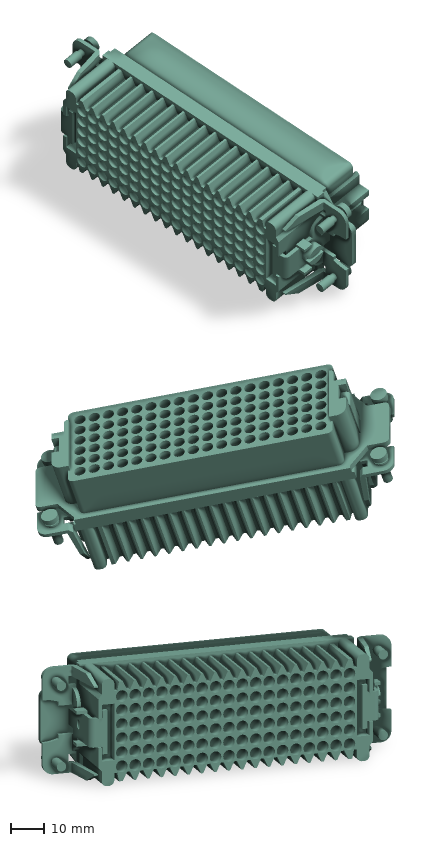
import cadquery as cq
import math


columns = 18
rows = 6
front_grid_length = 72.3
rear_grid_length = 74.8
front_column_pitch = front_grid_length / (columns - 1)
rear_column_pitch = rear_grid_length / (columns - 1)
row_pitch = rear_column_pitch
front_hole_diameter = 3.7
rear_hole_diameter = 3.5

flange_front_y = 17.5
flange_back_y = 22.2
flange_half_length = 43.6
flange_half_height = 16.7
ear_front_y = 20.3
ear_end_x = 54.9
ear_half_height = 8.5
ear_corner_radius = 1.7
ear_root_x = 42.9
ear_root_z = 15.6
ear_slope_end_x = 48.1

grid_half_height = 12.8
tooth_peak_z = 15.6
tooth_peak_half = 0.3
tooth_base_half = 1.7
end_tooth_peak_half = 0.9
end_tooth_base_half = 1.4

post_inner_x = 38.5
post_outer_x = 42.5
post_half_height = flange_half_height
post_corner_radius = 1.7
cheek_outer_x = flange_half_length
cheek_half_height = 10.7
cheek_slope_top_z = 12.1

pocket_depth = 3.3
pocket_half_height = 8.9

sheet = 1.2
strip_outer_x = 46.1
strip_inner_x = strip_outer_x - sheet
strip_front_y = 0.7
strip_back_y = 35.2
strip_front_radius = 1.7
strip_back_radius = 1.3
tongue_half_width = 2.5
tongue_front_y = 16.3
leg_half_width = 4.5
shoulder_half_width = 9.9
shoulder_front_y = 12.4
hook_inner_x = 40.5
hook_outer_x = 42.1
hook_half_width = 6.9
strip_hole_diameter = 3.0
strip_hole_y = 11.2
lug_outer_x = 48.3
lug_front_y = 6.5
lug_length = 3.3
lug_height = 1.0

plate_front_y = 17.2
plate_back_y = plate_front_y + sheet
plate_end_x = 55.4
plate_half_height = flange_half_height
plate_corner_radius = 3.3
plate_step_x = 50.3
plate_step_z = 5.9
plate_slope_end_x = 52.8
plate_slope_end_z = 6.5
plate_end_z = 6.8
window_outer_x = 47.2
window_bottom_z = 10.9
window_top_z = 13.5
tab_bend_outer_x = 46.3
tab_bend_inner_x = 44.5
tab_bend_relief = 1.1
tab_tip_outer_x = 44.1
tab_tip_inner_x = tab_tip_outer_x - sheet
tab_tip_y = 2.5
tab_taper_y = 7.8
tab_tip_top_z = 14.0

left_screw_x = 51.6
right_screw_x = 50.6
screw_z = 12.6
screw_tip_y = 10.7
screw_neck_y = 15.6
screw_thread_diameter = 3.0
screw_neck_diameter = 2.3
screw_collar_diameter = 3.7
screw_head_diameter = 5.1
washer_diameter = 4.7
washer_front_y = 19.0
washer_thickness = 0.7
ground_screw_diameter = 6.5
ground_screw_height = 2.8
ground_slot_width = 1.5
ground_slot_depth = 1.4

block_back_y = 36.1
block_half_length = 41.1
block_half_height = 14.7
block_corner_radius = 1.7
rail_back_y = 38.1
rail_outer_x = 45.7
rail_half_height = 9.9
rail_shelf_z = 5.2
rail_upper_outer_x = 41.9
rail_top_chamfer = 0.7
rail_bottom_radius = 3.0
rail_slot_half_height = 2.9
rail_slot_floor_x = 43.4


def box(x0, x1, y0, y1, z0, z1):
    """Box between two opposite corners."""
    return cq.Workplane("XY").box(x1 - x0, y1 - y0, z1 - z0, centered=False).translate((x0, y0, z0))


def facing_front(y_back):
    """Sketch plane at y_back, X right and Z up, that extrudes towards -Y."""
    return cq.Workplane("XZ", origin=(0, y_back, 0))


def cylinder_y(x, z, y_front, y_back, diameter):
    """Cylinder along Y."""
    return facing_front(y_back).center(x, z).circle(diameter / 2).extrude(y_back - y_front)


def contact_holes(column_pitch, diameter, y_front, y_back):
    """Full grid of contact holes as cylinders along Y."""
    return (
        facing_front(y_back)
        .rarray(column_pitch, row_pitch, columns, rows)
        .circle(diameter / 2)
        .extrude(y_back - y_front)
    )


def tooth_points(column):
    """Upper outline of one ridge, left to right; the end ridges are steeper on their outer side."""
    x = (column - (columns - 1) / 2) * front_column_pitch
    left_base, left_peak, right_peak, right_base = (
        tooth_base_half, tooth_peak_half, tooth_peak_half, tooth_base_half)
    if column == 0:
        left_base, left_peak = end_tooth_base_half, end_tooth_peak_half
    if column == columns - 1:
        right_base, right_peak = end_tooth_base_half, end_tooth_peak_half
    return [
        (x - left_base, grid_half_height),
        (x - left_peak, tooth_peak_z),
        (x + right_peak, tooth_peak_z),
        (x + right_base, grid_half_height),
    ]


def ridged_core():
    """Contact carrier with one ridge over and under every contact column."""
    upper = [(-post_inner_x, grid_half_height)]
    for column in range(columns):
        upper += tooth_points(column)
    upper.append((post_inner_x, grid_half_height))
    lower = [(x, -z) for x, z in reversed(upper)]
    return facing_front(flange_front_y).polyline(upper + lower).close().extrude(flange_front_y)


def end_post():
    """Round-edged post and wider cheek at the end of the core, with the pocket for the bracket hook."""
    post = box(post_inner_x, post_outer_x, 0, flange_front_y, -post_half_height, post_half_height)
    post = post.edges("|Y").fillet(post_corner_radius)
    cheek = (
        facing_front(flange_front_y)
        .polyline([
            (post_inner_x, -cheek_slope_top_z),
            (post_outer_x, -cheek_slope_top_z),
            (cheek_outer_x, -cheek_half_height),
            (cheek_outer_x, cheek_half_height),
            (post_outer_x, cheek_slope_top_z),
            (post_inner_x, cheek_slope_top_z),
        ])
        .close()
        .extrude(flange_front_y)
    )
    pocket = box(post_inner_x, post_outer_x, 0, pocket_depth, -pocket_half_height, pocket_half_height)
    leg_opening = box(hook_outer_x, cheek_outer_x, 0, pocket_depth, -leg_half_width, leg_half_width)
    return post.union(cheek).cut(pocket).cut(leg_opening)


def flange():
    """Collar behind the core; its back layer is slightly shorter."""
    front_layer = box(
        -flange_half_length, flange_half_length, flange_front_y, ear_front_y,
        -flange_half_height, flange_half_height)
    back_layer = box(
        -ear_root_x, ear_root_x, ear_front_y, flange_back_y, -flange_half_height, flange_half_height)
    return front_layer.union(back_layer)


def flange_ear():
    """Tongue of the flange that narrows from the collar to a round-cornered end."""
    return (
        facing_front(flange_back_y)
        .polyline([
            (ear_root_x, -ear_root_z),
            (ear_slope_end_x, -ear_half_height),
            (ear_end_x, -ear_half_height),
            (ear_end_x, ear_half_height),
            (ear_slope_end_x, ear_half_height),
            (ear_root_x, ear_root_z),
        ])
        .close()
        .extrude(flange_back_y - ear_front_y)
        .edges("|Y and >X")
        .fillet(ear_corner_radius)
    )


def bracket_strip():
    """C-shaped strip: hooked into the housing pocket in front, into the rear block's rail behind."""
    outer = box(
        hook_inner_x, strip_outer_x, strip_front_y, strip_back_y,
        -shoulder_half_width, shoulder_half_width)
    outer = outer.edges("|Z and >X and <Y").fillet(strip_front_radius)
    outer = outer.edges("|Z and >X and >Y").fillet(strip_back_radius)
    inside = box(
        hook_inner_x, strip_inner_x, strip_front_y + sheet, strip_back_y - sheet,
        -shoulder_half_width, shoulder_half_width)
    beyond_rail_slot = box(
        hook_inner_x, rail_slot_floor_x, flange_back_y, strip_back_y,
        -shoulder_half_width, shoulder_half_width)
    channel = outer.cut(inside).cut(beyond_rail_slot)

    shoulder_radius = plate_front_y - shoulder_front_y
    shoulder_low_z = shoulder_half_width - shoulder_radius
    arc_mid = (
        shoulder_front_y + shoulder_radius * (1 - math.sqrt(0.5)),
        shoulder_low_z + shoulder_radius * math.sqrt(0.5),
    )
    upper_half = (
        cq.Workplane("YZ")
        .moveTo(strip_front_y, 0)
        .lineTo(strip_front_y, leg_half_width)
        .lineTo(shoulder_front_y, leg_half_width)
        .lineTo(shoulder_front_y, shoulder_low_z)
        .threePointArc(arc_mid, (plate_front_y, shoulder_half_width))
        .lineTo(plate_back_y, shoulder_half_width)
        .lineTo(plate_back_y, leg_half_width)
        .lineTo(tongue_front_y, leg_half_width)
        .lineTo(tongue_front_y, tongue_half_width)
        .lineTo(strip_back_y, tongue_half_width)
        .lineTo(strip_back_y, 0)
        .close()
        .extrude(strip_outer_x)
    )
    strip = channel.intersect(upper_half.union(upper_half.mirror("XY")))
    hook = box(
        hook_inner_x, hook_outer_x, strip_front_y, strip_front_y + sheet,
        -hook_half_width, hook_half_width)
    hole = (
        cq.Workplane("YZ", origin=(strip_inner_x, 0, 0))
        .center(strip_hole_y, 0)
        .circle(strip_hole_diameter / 2)
        .extrude(sheet)
    )
    return strip.union(hook).cut(hole)


def mounting_plate():
    """Upper screw plate, with a window between the strip and the tab."""
    plate = (
        facing_front(plate_back_y)
        .polyline([
            (strip_inner_x, leg_half_width),
            (plate_step_x, leg_half_width),
            (plate_step_x, plate_step_z),
            (plate_slope_end_x, plate_slope_end_z),
            (plate_end_x, plate_end_z),
            (plate_end_x, plate_half_height),
            (window_outer_x, plate_half_height),
            (window_outer_x, window_bottom_z),
            (strip_inner_x, window_bottom_z),
        ])
        .close()
        .extrude(sheet)
    )
    return plate.edges("|Y and >X and >Z").fillet(plate_corner_radius)


def slanted_tab():
    """Tab bent from the upper plate towards the housing, tapered at its tip."""
    tab = (
        cq.Workplane("XY", origin=(0, 0, window_top_z))
        .polyline([
            (window_outer_x, plate_front_y),
            (window_outer_x, plate_back_y),
            (tab_bend_inner_x + tab_bend_relief, plate_back_y),
            (tab_bend_inner_x, plate_front_y),
            (tab_tip_inner_x, tab_tip_y),
            (tab_tip_outer_x, tab_tip_y),
            (tab_bend_outer_x, plate_front_y),
        ])
        .close()
        .extrude(plate_half_height - window_top_z)
    )
    taper = (
        cq.Workplane("YZ")
        .polyline([
            (tab_tip_y, tab_tip_top_z),
            (tab_taper_y, plate_half_height),
            (tab_tip_y, plate_half_height),
        ])
        .close()
        .extrude(window_outer_x)
    )
    return tab.cut(taper)


def strip_lug():
    """Small lug that stands out from the upper edge of the strip."""
    return box(
        strip_inner_x, lug_outer_x, lug_front_y, lug_front_y + lug_length,
        leg_half_width, leg_half_width + lug_height)


def bracket():
    """Strip with an equal plate, tab and lug above and below, bent from one sheet."""
    upper = mounting_plate().union(slanted_tab()).union(strip_lug())
    return bracket_strip().union(upper).union(upper.mirror("XY"))


def mounting_screw(x, z):
    """Captive screw through the plate, with its washer and head behind it."""
    thread = cylinder_y(x, z, screw_tip_y, screw_neck_y, screw_thread_diameter)
    neck = cylinder_y(x, z, screw_neck_y, plate_front_y, screw_neck_diameter)
    collar = cylinder_y(x, z, plate_front_y, ear_front_y, screw_collar_diameter)
    washer = cylinder_y(x, z, washer_front_y, washer_front_y + washer_thickness, washer_diameter)
    head = cylinder_y(x, z, ear_front_y, flange_back_y, screw_head_diameter)
    return thread.union(neck).union(collar).union(washer).union(head)


def ground_screw():
    """Slotted screw that fills the strip hole on the +X end."""
    stem = (
        cq.Workplane("YZ", origin=(strip_inner_x, strip_hole_y, 0))
        .circle(strip_hole_diameter / 2)
        .extrude(sheet)
    )
    head = (
        cq.Workplane("YZ", origin=(strip_outer_x, strip_hole_y, 0))
        .circle(ground_screw_diameter / 2)
        .extrude(ground_screw_height)
    )
    top_x = strip_outer_x + ground_screw_height
    head_radius = ground_screw_diameter / 2
    slot = box(
        top_x - ground_slot_depth, top_x, strip_hole_y - head_radius, strip_hole_y + head_radius,
        -ground_slot_width / 2, ground_slot_width / 2)
    return stem.union(head.cut(slot))


def make_front_housing():
    """Front body: core, flange, end posts and ears, with the brackets and screws fixed to it."""
    end = end_post().union(flange_ear()).union(bracket())
    housing = ridged_core().union(flange()).union(end).union(end.mirror("YZ"))
    for x in (-left_screw_x, right_screw_x):
        for z in (-screw_z, screw_z):
            housing = housing.union(mounting_screw(x, z))
    housing = housing.union(ground_screw())
    return housing.cut(contact_holes(front_column_pitch, front_hole_diameter, 0, flange_back_y))


def guide_rail():
    """Stepped rail on the end of the rear block, slotted for the bracket strip."""
    rail = (
        facing_front(rail_back_y)
        .moveTo(block_half_length - rail_top_chamfer, rail_half_height)
        .lineTo(rail_upper_outer_x - rail_top_chamfer, rail_half_height)
        .lineTo(rail_upper_outer_x, rail_half_height - rail_top_chamfer)
        .lineTo(rail_upper_outer_x, rail_shelf_z)
        .lineTo(rail_outer_x, rail_shelf_z)
        .lineTo(rail_outer_x, rail_bottom_radius - rail_half_height)
        .radiusArc((rail_outer_x - rail_bottom_radius, -rail_half_height), rail_bottom_radius)
        .lineTo(block_half_length - rail_top_chamfer, -rail_half_height)
        .close()
        .extrude(rail_back_y - flange_back_y)
    )
    slot = box(
        rail_slot_floor_x, rail_outer_x, flange_back_y, rail_back_y,
        -rail_slot_half_height, rail_slot_half_height)
    return rail.cut(slot)


def make_rear_block():
    """Rear body: contact block with a guide rail on each end."""
    block = box(
        -block_half_length, block_half_length, flange_back_y, block_back_y,
        -block_half_height, block_half_height)
    block = block.edges("|Y").fillet(block_corner_radius)
    rail = guide_rail()
    block = block.union(rail).union(rail.mirror("YZ"))
    return block.cut(contact_holes(rear_column_pitch, rear_hole_diameter, flange_back_y, rail_back_y))


front_housing = make_front_housing()
rear_block = make_rear_block()

result = cq.Compound.makeCompound([front_housing.val(), rear_block.val()])